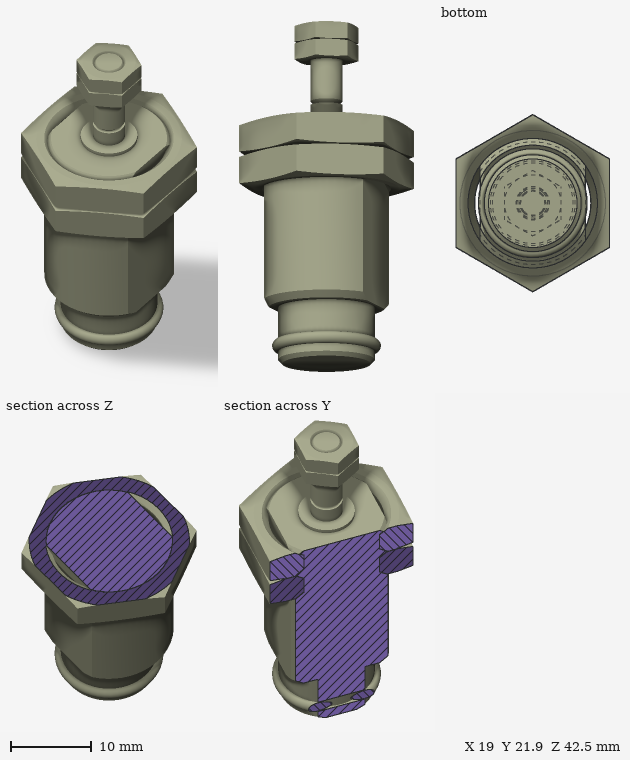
import cadquery as cq
import math

BODY_DIA = 16.02
BODY_END_DIA = 14.35
BODY_CHAMFER = (BODY_DIA - BODY_END_DIA) / 2
BODY_FLATS = 13.0
BODY_BOTTOM = 7.0
BODY_TOP = 30.0

SPIGOT_DIA = 12.0
SPIGOT_CHAMFER = 0.5
RING_SECTION_DIA = 1.5
RING_Z = 2.25
GROOVE_DIA = 10.0
GROOVE_WIDTH = 1.55

STUD_DIA = 4.0
STUD_END_DIA = 3.25
STUD_END_CHAMFER = (STUD_DIA - STUD_END_DIA) / 2
STUD_TOP = 42.5
COLLAR_DIA = 7.0
COLLAR_TOP = 30.5
STUD_GROOVE_DIA = 2.98
STUD_GROOVE_BOTTOM = 32.5
STUD_GROOVE_HEIGHT = (STUD_DIA - STUD_GROOVE_DIA) / 2

NUT_COUNT = 2
CROWN_ANGLE = math.radians(10)
BODY_NUT_FLATS = 19.0
BODY_NUT_CROWN_DIA = 18.0
BODY_NUT_BORE = BODY_END_DIA
BODY_NUT_MOUTH = BODY_DIA
BODY_NUT_HEIGHT = 4.0
BODY_NUTS_BOTTOM = BODY_TOP - NUT_COUNT * BODY_NUT_HEIGHT
STUD_NUT_FLATS = 7.0
STUD_NUT_CROWN_DIA = 6.6
STUD_NUT_BORE = STUD_END_DIA
STUD_NUT_MOUTH = 4.12
STUD_NUT_HEIGHT = 2.2
STUD_NUTS_BOTTOM = STUD_TOP - NUT_COUNT * STUD_NUT_HEIGHT


def cylinder(diameter, bottom, top):
    return cq.Workplane("XY").workplane(offset=bottom).circle(diameter / 2).extrude(top - bottom)


def revolve_profile(points):
    """Turn a closed (radius, z) outline about the Z axis."""
    return cq.Workplane("XZ").polyline(points).close().revolve(360, (0, 0, 0), (0, 1, 0))


def make_nut(flats, crown_dia, bore, mouth, height, bottom):
    """Hexagon nut with corners on the Y axis, crowned ends and a countersunk bore."""
    corner_radius = flats / math.sqrt(3)
    crown_radius = crown_dia / 2
    crown_drop = (corner_radius - crown_radius) * math.tan(CROWN_ANGLE)
    mouth_depth = (mouth - bore) / 2
    hexagon = (
        cq.Workplane("XY")
        .polygon(6, 2 * corner_radius)
        .extrude(height)
        .rotate((0, 0, 0), (0, 0, 1), 90)
    )
    turned_envelope = revolve_profile([
        (bore / 2, mouth_depth),
        (mouth / 2, 0),
        (crown_radius, 0),
        (corner_radius, crown_drop),
        (corner_radius, height - crown_drop),
        (crown_radius, height),
        (mouth / 2, height),
        (bore / 2, height - mouth_depth),
    ])
    return hexagon.intersect(turned_envelope).translate((0, 0, bottom))


def make_body_nut(index):
    return make_nut(BODY_NUT_FLATS, BODY_NUT_CROWN_DIA, BODY_NUT_BORE, BODY_NUT_MOUTH,
                    BODY_NUT_HEIGHT, BODY_NUTS_BOTTOM + index * BODY_NUT_HEIGHT)


def make_stud_nut(index):
    return make_nut(STUD_NUT_FLATS, STUD_NUT_CROWN_DIA, STUD_NUT_BORE, STUD_NUT_MOUTH,
                    STUD_NUT_HEIGHT, STUD_NUTS_BOTTOM + index * STUD_NUT_HEIGHT)


def make_ring():
    """Sealing ring whose section is centred on the spigot surface."""
    section = cq.Workplane("XZ").center(SPIGOT_DIA / 2, RING_Z).circle(RING_SECTION_DIA / 2)
    return section.revolve(360, (-SPIGOT_DIA / 2, 0, 0), (-SPIGOT_DIA / 2, 1, 0))


def make_barrel():
    barrel = cylinder(BODY_DIA, BODY_BOTTOM, BODY_TOP).faces("<Z or >Z").chamfer(BODY_CHAMFER)
    flats = cq.Workplane("XY").box(BODY_FLATS, BODY_DIA, BODY_TOP, centered=(True, True, False))
    return barrel.intersect(flats)


def make_spigot():
    spigot = cylinder(SPIGOT_DIA, 0, BODY_BOTTOM).faces("<Z").chamfer(SPIGOT_CHAMFER)
    groove_bottom = RING_Z - GROOVE_WIDTH / 2
    groove_top = RING_Z + GROOVE_WIDTH / 2
    groove = cylinder(SPIGOT_DIA, groove_bottom, groove_top).cut(
        cylinder(GROOVE_DIA, groove_bottom, groove_top))
    return spigot.cut(groove)


def make_stud():
    collar = cylinder(COLLAR_DIA, BODY_TOP, COLLAR_TOP)
    stud = cylinder(STUD_DIA, BODY_TOP, STUD_TOP).faces(">Z").chamfer(STUD_END_CHAMFER)
    groove = revolve_profile([
        (STUD_GROOVE_DIA / 2, STUD_GROOVE_BOTTOM),
        (STUD_DIA / 2, STUD_GROOVE_BOTTOM),
        (STUD_DIA / 2, STUD_GROOVE_BOTTOM + STUD_GROOVE_HEIGHT),
    ])
    return stud.cut(groove).union(collar)


def make_housing(nuts):
    """Barrel, spigot and stud in one piece, relieved where the nuts engage it."""
    housing = make_barrel().union(make_spigot()).union(make_stud())
    for nut in nuts:
        housing = housing.cut(nut)
    return housing


body_nuts = [make_body_nut(index) for index in range(NUT_COUNT)]
stud_nuts = [make_stud_nut(index) for index in range(NUT_COUNT)]
nuts = body_nuts + stud_nuts
ring = make_ring()
housing = make_housing(nuts)

result = cq.Compound.makeCompound([
    housing.solids().val(),
    ring.val(),
    *[nut.solids().val() for nut in nuts],
])